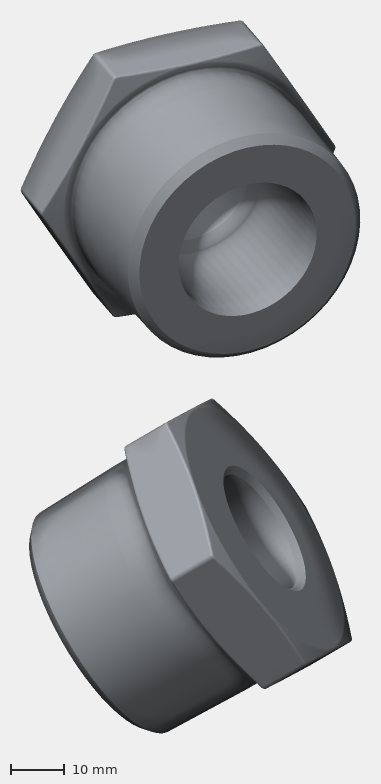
import cadquery as cq
import math


SIDES = 6
ACROSS_CORNERS = 59.75
CORNER_RADIUS = 1.0
FLANGE_WIDTH = 12.0
CHAMFER_ANGLE = 15.0
FACE_DIAMETER = 51.2
FACE_BLEND_RADIUS = 1.0
HEX_EDGE_RADIUS = 0.5

COLLAR_DIAMETER = 48.2
COLLAR_END = 18.9
TAPER_RATIO = 1 / 16
TOTAL_LENGTH = 38.0
TIP_CHAMFER = 1.6
NECK_FILLET = 0.5

BORE_DIAMETER = 24.15
MOUTH_DIAMETER = 26.5
MOUTH_DEPTH = 1.2
RECESS_DIAMETER = 28.0
RECESS_CONE_START = 11.75
RECESS_CONE_LENGTH = 1.8

half_side_angle = math.pi / SIDES
corner_rounding_loss = 2 * CORNER_RADIUS * (1 / math.cos(half_side_angle) - 1)
sharp_corners = ACROSS_CORNERS + corner_rounding_loss


def revolve_about_x(profile):
    """Close an (axial, radial) outline and turn it about the X axis."""
    return profile.close().revolve(360, (0, 0, 0), (1, 0, 0))


def make_flange():
    prism = (
        cq.Workplane("YZ")
        .polygon(SIDES, sharp_corners)
        .extrude(FLANGE_WIDTH)
        .edges("|X")
        .fillet(CORNER_RADIUS)
    )
    outer_radius = sharp_corners / 2
    face_radius = FACE_DIAMETER / 2
    cone_depth = (outer_radius - face_radius) * math.tan(math.radians(CHAMFER_ANGLE))
    cones = revolve_about_x(
        cq.Workplane("XZ")
        .lineTo(0, face_radius)
        .lineTo(cone_depth, outer_radius)
        .lineTo(FLANGE_WIDTH - cone_depth, outer_radius)
        .lineTo(FLANGE_WIDTH, face_radius)
        .lineTo(FLANGE_WIDTH, 0)
    )
    face_rims = cones.faces("<X or >X").edges()
    flange = prism.intersect(face_rims.fillet(FACE_BLEND_RADIUS))
    flat_edges = flange.faces("#X").edges("not |X")
    return flat_edges.fillet(HEX_EDGE_RADIUS)


def make_spigot():
    collar_radius = COLLAR_DIAMETER / 2
    neck_radius = collar_radius + NECK_FILLET
    taper_end = TOTAL_LENGTH - TIP_CHAMFER
    taper_end_radius = collar_radius - TAPER_RATIO * (taper_end - COLLAR_END) / 2
    return revolve_about_x(
        cq.Workplane("XZ")
        .moveTo(FLANGE_WIDTH / 2, 0)
        .lineTo(FLANGE_WIDTH / 2, neck_radius)
        .lineTo(FLANGE_WIDTH, neck_radius)
        .radiusArc((FLANGE_WIDTH + NECK_FILLET, collar_radius), -NECK_FILLET)
        .lineTo(COLLAR_END, collar_radius)
        .lineTo(taper_end, taper_end_radius)
        .lineTo(TOTAL_LENGTH, taper_end_radius - TIP_CHAMFER)
        .lineTo(TOTAL_LENGTH, 0)
    )


def make_bore():
    return revolve_about_x(
        cq.Workplane("XZ")
        .lineTo(0, MOUTH_DIAMETER / 2)
        .lineTo(MOUTH_DEPTH, BORE_DIAMETER / 2)
        .lineTo(RECESS_CONE_START, BORE_DIAMETER / 2)
        .lineTo(RECESS_CONE_START + RECESS_CONE_LENGTH, RECESS_DIAMETER / 2)
        .lineTo(TOTAL_LENGTH, RECESS_DIAMETER / 2)
        .lineTo(TOTAL_LENGTH, 0)
    )


result = make_flange().union(make_spigot()).cut(make_bore())